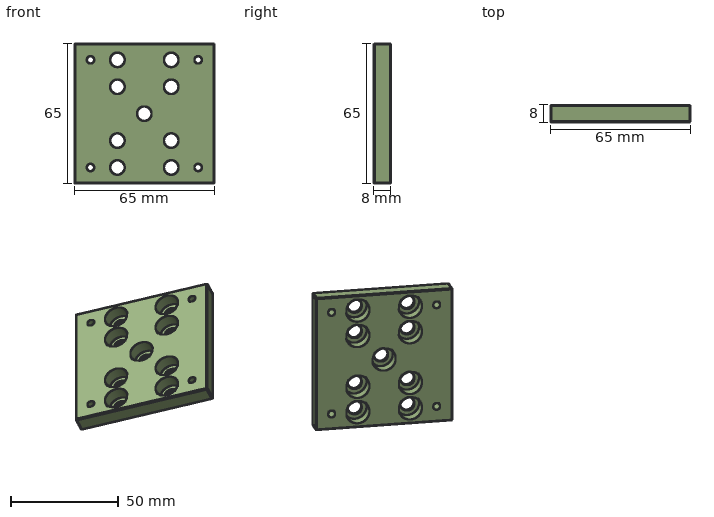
import cadquery as cq

plate_side = 65.0
plate_thickness = 8.0
edge_chamfer = 0.5

hole_pitch = 12.5
large_diameter = 6.6
small_diameter = 3.3

counterbore_diameter = 11.0
counterbore_depth = 6.5

mirror_signs = (-1, 1)
outer_offset = 2 * hole_pitch

large_points = [(0, 0)] + [
    (side * hole_pitch, row * hole_pitch)
    for side in mirror_signs
    for row in (-2, -1, 1, 2)
]
small_points = [
    (side * outer_offset, end * outer_offset)
    for side in mirror_signs
    for end in mirror_signs
]


def through_holes(points, diameter):
    """Cylinders along Y that span the plate thickness."""
    return (
        cq.Workplane("XZ")
        .pushPoints(points)
        .circle(diameter / 2)
        .extrude(plate_thickness / 2, both=True)
    )


plate = cq.Workplane("XY").box(plate_side, plate_thickness, plate_side)
plate = plate.edges().chamfer(edge_chamfer)

result = plate.cut(through_holes(large_points, large_diameter))
result = result.cut(through_holes(small_points, small_diameter))

counterbores = (
    cq.Workplane("XZ", origin=(0, plate_thickness / 2, 0))
    .pushPoints(large_points)
    .circle(counterbore_diameter / 2)
    .extrude(counterbore_depth)
)
result = result.cut(counterbores)